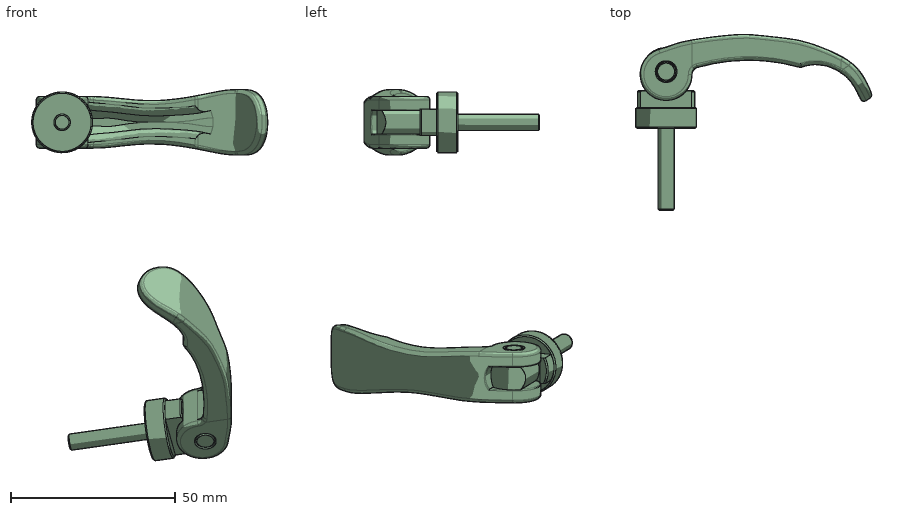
import cadquery as cq
import math


cam_radius = 7.9
cam_center_y = -0.85
back_start_angle = math.radians(106)
back_points = [(2.9, 8.5), (8.6, 9.8), (17.3, 10.95), (23.75, 11.4), (31.65, 10.7), (40.3, 9.6), (48.9, 6.75), (54.7, 3.9),
               (59, 0.1), (61.9, -5.0), (64, -10.4)]
back_end_direction = (0.4, -1)
underside_crest = (25.2, 3.45)
underside_radius = 56.85
ridge_x = 41.0
ridge_round = 1.45
dish_points = [(45.3, 2.15), (48.9, 1.7), (51.8, 0.6), (54.7, -1.4), (57.55, -5.05), (60.1, -10.4)]
edge_round = 1.15

head_half_width = 7.9
thumb_half_width = 10.0
head_side_end = (cam_radius, head_half_width)
thumb_side_start = (53.25, thumb_half_width)
waist_points = [(17.3, 7.35), (25.9, 6.6), (37.4, 7.5), (46.05, 9.15)]
half_width_points = [head_side_end, *waist_points, thumb_side_start]
tip_center = (56.5, 2.45)
tip_slope = math.radians(-56)
tip_length = 11.9

channel_start_x = cam_radius
channel_end_x = 48.9
channel_sections = 9
channel_rim_start = 1.7
channel_rim_end = 3.3
channel_round = 2.4
channel_wall_run = 2.0
channel_floor_min = 0.1
channel_floor_crest = (23.75, 6.6)
channel_floor_radius = 57.55
channel_overcut = 2.15

slot_half_width = 3.5
slot_end_radius = 5.75
slot_edge_round = 0.35
pin_radius = 2.95
pin_chamfer = 0.35

stem_radius = 5.7
stem_end_radius = 7.35
tongue_radius = 8.8
tongue_half_width = 4.0
tongue_top_y = -5.75
flange_radius = 9.3
flange_top_y = -10.9
flange_bottom_y = -17.3
stud_radius = 2.5
stud_end_y = -42.2
rim_chamfer = 0.4

reach = 86.35
selection_margin = 0.15


def bar_along_y(radius, y_low, y_high):
    """Round bar on the Y axis."""
    return cq.Workplane("XZ", origin=(0, y_low, 0)).circle(radius).extrude(y_low - y_high)


def bar_along_z(radius, half_width, center_y=0.0):
    """Round bar parallel to the Z axis, centred on the XY plane."""
    return cq.Workplane("XY", origin=(0, center_y, -half_width)).circle(radius).extrude(2 * half_width)


def slab(half_width):
    """Wide plate centred on the XY plane, used to trim a shape to a thickness."""
    return cq.Workplane("XY").box(2 * reach, 2 * reach, 2 * half_width)


def arc_height(x, crest, radius):
    """Height at x of a circular arc that has its crest at the given point."""
    return crest[1] - radius + math.sqrt(radius**2 - (x - crest[0]) ** 2)


def cam_point(angle):
    """Point on the rim of the cam head."""
    return (cam_radius * math.cos(angle), cam_center_y + cam_radius * math.sin(angle))


def ridge_point():
    """Where the underside arc meets the thumb dish."""
    return (ridge_x, arc_height(ridge_x, underside_crest, underside_radius))


def neck_end_point():
    """Where the neck arc, which also touches the side of the cam, meets the underside arc."""
    run = underside_crest[0] - cam_radius
    rise = cam_center_y - underside_crest[1] + underside_radius
    neck_radius = (underside_radius**2 - run**2 - rise**2) / (2 * (underside_radius - run))
    neck_x = underside_crest[0] + underside_radius * math.cos(math.atan2(rise, neck_radius - run))
    return (neck_x, arc_height(neck_x, underside_crest, underside_radius))


def side_profile():
    """Cam head, curved back, dished thumb end and arched underside."""
    back_start = cam_point(back_start_angle)
    back_start_direction = (math.sin(back_start_angle), -math.cos(back_start_angle))
    cam_middle = cam_point(back_start_angle / 2 - math.pi)
    return (
        cq.Workplane("XY", origin=(0, 0, -reach))
        .moveTo(*back_start)
        .spline(back_points, tangents=[back_start_direction, back_end_direction], includeCurrent=True)
        .lineTo(*dish_points[-1])
        .spline([*dish_points[-2::-1], ridge_point()], includeCurrent=True)
        .threePointArc(underside_crest, neck_end_point())
        .tangentArcPoint(cam_point(0), relative=False)
        .threePointArc(cam_middle, back_start)
        .close()
        .extrude(2 * reach)
    )


def waisted_plan():
    """Width of the lever along X: narrow at the waist and widest at the thumb."""
    mirrored_points = [(x, -z) for x, z in reversed(half_width_points)]
    return (
        cq.Workplane("XZ", origin=(0, reach, 0))
        .moveTo(-reach, head_half_width)
        .lineTo(*half_width_points[0])
        .spline(half_width_points[1:], tangents=[(1, 0), (1, 0)], includeCurrent=True)
        .lineTo(reach, thumb_half_width)
        .lineTo(reach, -thumb_half_width)
        .lineTo(*mirrored_points[0])
        .spline(mirrored_points[1:], tangents=[(-1, 0), (-1, 0)], includeCurrent=True)
        .lineTo(-reach, -head_half_width)
        .close()
        .extrude(2 * reach)
    )


def tip_outline():
    """Long strip with a half-elliptical end, square to the thumb surface."""
    along = cq.Vector(math.cos(tip_slope), math.sin(tip_slope), 0)
    outward = cq.Vector(-math.sin(tip_slope), math.cos(tip_slope), 0)
    plane = cq.Plane(origin=(*tip_center, 0), xDir=along, normal=outward)
    ellipse = cq.Workplane(plane).ellipse(tip_length, thumb_half_width).extrude(reach, both=True)
    strip = (
        cq.Workplane(plane)
        .center(-reach / 2, 0)
        .rect(reach, 2 * thumb_half_width)
        .extrude(reach, both=True)
    )
    return ellipse.union(strip)


def half_width_at(x):
    """Half width of the lever at x, taken straight between the width points."""
    for (x0, z0), (x1, z1) in zip(half_width_points, half_width_points[1:]):
        if x <= x1:
            return z0 + (z1 - z0) * (x - x0) / (x1 - x0)
    return thumb_half_width


def channel_section(fraction):
    """Cross-section at a fraction of the channel length, with rounded mouth edges and sloping walls."""
    x = channel_start_x + fraction * (channel_end_x - channel_start_x)
    rim = channel_rim_start + fraction * (channel_rim_end - channel_rim_start)
    mouth_y = arc_height(x, underside_crest, underside_radius)
    floor_y = arc_height(x, channel_floor_crest, channel_floor_radius)
    mouth = half_width_at(x) - rim
    wall = mouth - channel_round
    floor = max(wall - channel_wall_run, channel_floor_min)
    wall_y = mouth_y + channel_round
    arc_step = channel_round * math.sin(math.pi / 4)
    arc_y = wall_y - arc_step
    arc_z = mouth - arc_step
    return (
        cq.Workplane("YZ", origin=(x, 0, 0))
        .moveTo(mouth_y - channel_overcut, mouth)
        .lineTo(mouth_y, mouth)
        .threePointArc((arc_y, arc_z), (wall_y, wall))
        .lineTo(floor_y, floor)
        .lineTo(floor_y, -floor)
        .lineTo(wall_y, -wall)
        .threePointArc((arc_y, -arc_z), (mouth_y, -mouth))
        .lineTo(mouth_y - channel_overcut, -mouth)
        .close()
        .wire()
        .val()
    )


def finger_channel():
    """Channel that narrows with the waist and runs out into the thumb dish."""
    fractions = [i / (channel_sections - 1) for i in range(channel_sections)]
    return cq.Workplane(cq.Solid.makeLoft([channel_section(fraction) for fraction in fractions]))


def lever_slot():
    """Slot for the stem, open towards -X, with a rounded inner end."""
    open_side = cq.Workplane("XY").box(reach, 2 * reach, 2 * slot_half_width).translate((-reach / 2, 0, 0))
    inner_end = bar_along_y(slot_end_radius, -reach, reach).intersect(slab(slot_half_width))
    return open_side.union(inner_end)


def pin_bore():
    """Through bore, widened by a chamfer at both ends."""
    bore = bar_along_z(pin_radius, head_half_width)
    end_radius = pin_radius + pin_chamfer
    for side in (1, -1):
        rim_center = (0, 0, side * head_half_width)
        cone = cq.Solid.makeCone(end_radius, pin_radius, pin_chamfer, rim_center, (0, 0, -side))
        bore = bore.union(cq.Workplane(cone))
    return bore


def near_ridge():
    """Selector for the edge where the underside arc meets the thumb dish."""
    x, y = ridge_point()
    low_corner = (x - selection_margin, y - selection_margin, -reach)
    high_corner = (x + selection_margin, y + selection_margin, reach)
    return cq.selectors.BoxSelector(low_corner, high_corner)


def around_slot():
    """Selector for the edges of the stem slot."""
    half_width = slot_half_width + selection_margin
    return cq.selectors.BoxSelector((-reach, -reach, -half_width), (slot_end_radius, reach, half_width))


def build_lever():
    """Rounded lever with a forked cam head, pin bore and finger channel."""
    blank = side_profile().intersect(waisted_plan()).intersect(tip_outline())
    blank = blank.edges(near_ridge()).edges("|Z").fillet(ridge_round)
    blank = blank.edges("not |Z").fillet(edge_round)
    forked = blank.cut(lever_slot())
    forked = forked.edges(around_slot()).edges("not |Y").fillet(slot_edge_round)
    return forked.cut(pin_bore()).cut(finger_channel())


def build_clamp():
    """Flange with stud and tongue, and a flat-sided stem that carries the pivot pin."""
    flange = bar_along_y(flange_radius, flange_bottom_y, flange_top_y).edges().chamfer(rim_chamfer)
    tongue = (
        bar_along_y(tongue_radius, flange_top_y, tongue_top_y)
        .faces(">Y")
        .edges()
        .chamfer(rim_chamfer)
        .intersect(slab(tongue_half_width))
        .cut(bar_along_z(cam_radius, head_half_width, cam_center_y))
    )
    stem_end = bar_along_y(stem_radius, 0, reach).intersect(bar_along_z(stem_end_radius, slot_half_width))
    stem = bar_along_y(stem_radius, flange_top_y, 0).intersect(slab(slot_half_width)).union(stem_end)
    pin = bar_along_z(pin_radius, head_half_width).edges().chamfer(pin_chamfer)
    stud = bar_along_y(stud_radius, stud_end_y, flange_bottom_y).faces("<Y").edges().chamfer(rim_chamfer)
    return flange.union(tongue).union(stem).union(pin).union(stud)


lever = build_lever()
clamp = build_clamp()
result = cq.Compound.makeCompound([lever.solids().val(), clamp.solids().val()])